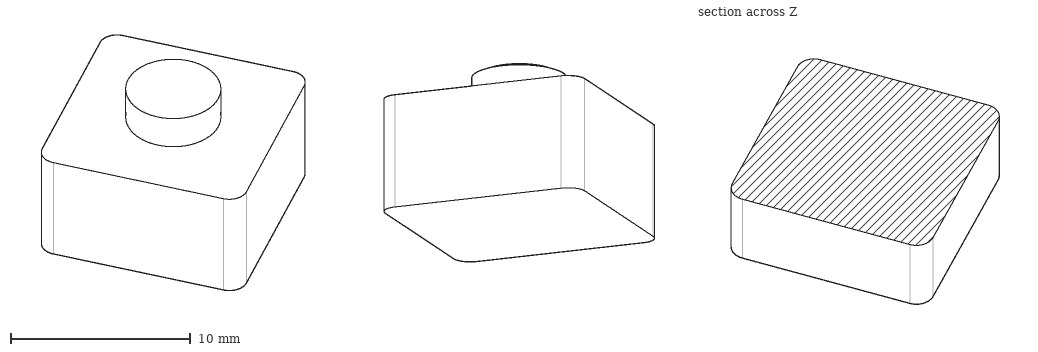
import cadquery as cq

body_side = 12.0
body_height = 6.5
corner_radius = 1.0

plunger_diameter = 5.3
plunger_radius = plunger_diameter / 2
total_height = 9.1
dome_rise = 0.6
shoulder_z = total_height - dome_rise


def make_body():
    """Block standing on the XY plane, centred on the Z axis."""
    block = cq.Workplane("XY").box(body_side, body_side, body_height, centered=(True, True, False))
    return block.edges("|Z").fillet(corner_radius)


def make_plunger():
    """Cylinder on top of the body, closed by a shallow spherical cap."""
    sphere_radius = (plunger_radius**2 + dome_rise**2) / (2 * dome_rise)
    sphere_centre_z = total_height - sphere_radius
    arc_mid_x = plunger_radius / 2
    arc_mid_z = sphere_centre_z + (sphere_radius**2 - arc_mid_x**2) ** 0.5
    half_profile = (
        cq.Workplane("XZ")
        .moveTo(0, body_height)
        .lineTo(plunger_radius, body_height)
        .lineTo(plunger_radius, shoulder_z)
        .threePointArc((arc_mid_x, arc_mid_z), (0, total_height))
        .close()
    )
    return half_profile.revolve(360, (0, 0, 0), (0, 1, 0))


result = make_body().union(make_plunger())